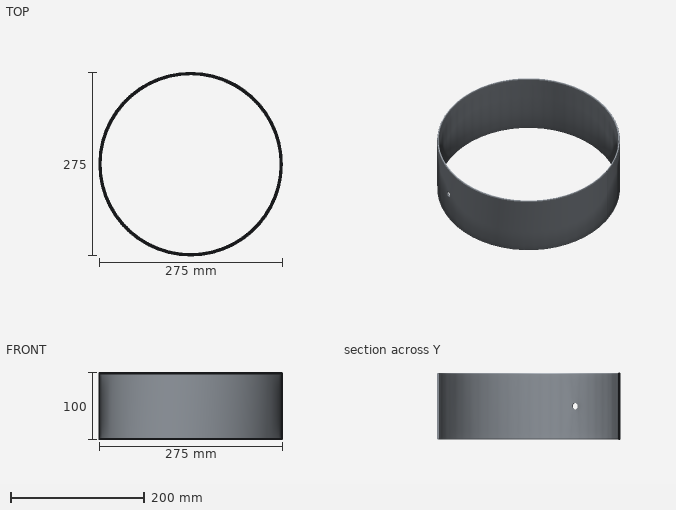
import cadquery as cq

outer_diameter = 275.0
band_height = 100.0
wall = 2.5
bevel_height = 1.5
bevel_depth = 0.7
slit_width = 2.0
hole_diameter = 10.0
hole_angle = 59.0

outer_radius = outer_diameter / 2
inner_radius = outer_radius - wall
rim_z = band_height / 2
cutter_length = outer_radius + wall


def band():
    """Thin ring centred on the origin, with steep bevels on all four rim edges."""
    shoulder_z = rim_z - bevel_height
    rim_outer = outer_radius - bevel_depth
    rim_inner = inner_radius + bevel_depth
    profile = cq.Workplane("XZ").polyline([
        (inner_radius, -shoulder_z),
        (rim_inner, -rim_z),
        (rim_outer, -rim_z),
        (outer_radius, -shoulder_z),
        (outer_radius, shoulder_z),
        (rim_outer, rim_z),
        (rim_inner, rim_z),
        (inner_radius, shoulder_z),
    ]).close()
    return profile.revolve(360, (0, 0, 0), (0, 1, 0))


def slit():
    """Full-height cutter that opens the band on -X, with one face on the XZ plane."""
    cutter = cq.Workplane("XY").box(cutter_length, slit_width, 2 * band_height)
    return cutter.translate((-cutter_length / 2, slit_width / 2, 0))


def radial_hole():
    """Round cutter through the wall at mid height."""
    cutter = cq.Workplane("YZ").circle(hole_diameter / 2).extrude(cutter_length)
    return cutter.rotate((0, 0, 0), (0, 0, 1), hole_angle)


result = band().cut(slit()).cut(radial_hole())